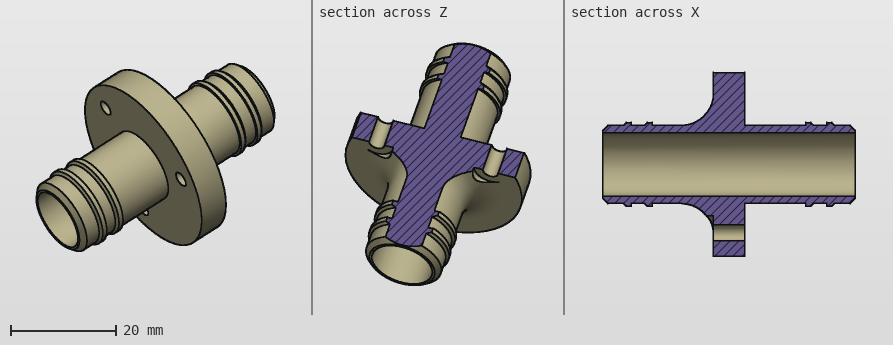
import cadquery as cq
import math

total_length = 48.0
flange_diameter = 35.0
flange_thickness = 6.0
tube_diameter = 15.0
bore_diameter = 12.0
end_chamfer = 1.0
root_radius = 6.0

ring_diameter = 16.0
ring_width = 1.5
ring_offsets = (4.0, 7.95)

hole_count = 3
hole_diameter = 3.0
hole_circle_radius = 13.0
head_seat_diameter = 6.5

half_length = total_length / 2
flange_face = flange_thickness / 2
tube_radius = tube_diameter / 2
ring_height = (ring_diameter - tube_diameter) / 2


def cylinder_y(diameter, start, length):
    """Cylinder on the Y axis, running from start towards +Y."""
    plane = cq.Plane(origin=(0, start, 0), xDir=(1, 0, 0), normal=(0, 1, 0))
    return cq.Workplane(plane).circle(diameter / 2).extrude(length)


def retaining_ring(offset):
    """Ring on the +Y tube, bevelled on the side facing the tube end."""
    outer_side = half_length - offset
    ring = cylinder_y(ring_diameter, outer_side - ring_width, ring_width)
    return ring.faces(">Y").chamfer(ring_height)


def root_fillet():
    """Concave flare from the flange's +Y face up to the tube."""
    flare_radius = tube_radius + root_radius
    flare_top = flange_face + root_radius
    arc_reach = root_radius * math.sqrt(0.5)
    return (
        cq.Workplane("XY")
        .moveTo(0, flange_face)
        .lineTo(flare_radius, flange_face)
        .threePointArc((flare_radius - arc_reach, flare_top - arc_reach), (tube_radius, flare_top))
        .lineTo(0, flare_top)
        .close()
        .revolve(360, (0, 0, 0), (0, 1, 0))
    )


body = cylinder_y(tube_diameter, -half_length, total_length)
body = body.faces("<Y or >Y").chamfer(end_chamfer)
body = body.union(cylinder_y(flange_diameter, -flange_face, flange_thickness))
body = body.union(root_fillet())

for ring_offset in ring_offsets:
    ring = retaining_ring(ring_offset)
    body = body.union(ring).union(ring.mirror("XZ"))

for index in range(hole_count):
    angle = math.radians(-90 + index * 360 / hole_count)
    position = (hole_circle_radius * math.cos(angle), 0, hole_circle_radius * math.sin(angle))
    hole = cylinder_y(hole_diameter, -flange_face, flange_thickness)
    head_seat = cylinder_y(head_seat_diameter, flange_face, root_radius)
    body = body.cut(hole.translate(position)).cut(head_seat.translate(position))

result = body.cut(cylinder_y(bore_diameter, -half_length, total_length))